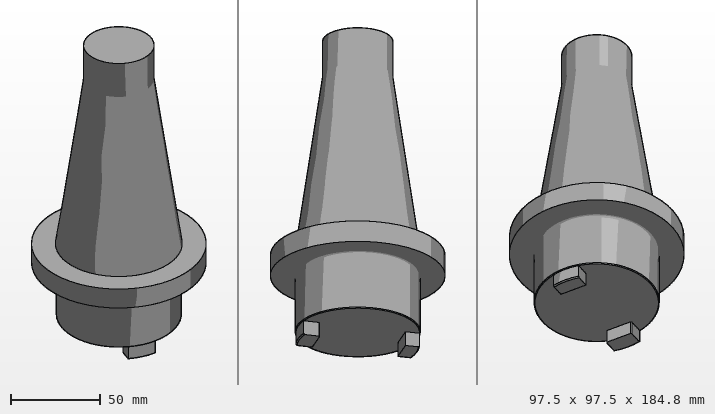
import cadquery as cq
import math

total_height = 184.8
flange_thickness = 12.4
spigot_length = 34.4
key_drop = 8.3
tip_length = 22.0

flange_diameter = 97.5
gauge_diameter = 69.85
tip_diameter = 39.4
spigot_diameter = 69.85

taper_rate = 7 / 24
gauge_height = 3.2

neck_fillet = 1.6
spigot_chamfer = 0.5
key_chamfer = 0.7

key_width = 16.2
key_outer_radius = 34.5
left_key_inner_distance = 24.1
right_key_inner_distance = 25.4
left_key_corner_chamfer = 0.6

flange_bottom = -flange_thickness
spigot_bottom = flange_bottom - spigot_length
key_bottom = spigot_bottom - key_drop
top = key_bottom + total_height
taper_top = top - tip_length
taper_base_diameter = gauge_diameter + gauge_height * taper_rate


def turned_body():
    """Tip, taper, flange and spigot as one revolved half profile."""
    spigot_radius = spigot_diameter / 2
    fillet_start = (spigot_radius, flange_bottom - neck_fillet)
    fillet_middle = (
        spigot_radius + neck_fillet * (1 - math.cos(math.pi / 4)),
        flange_bottom - neck_fillet * (1 - math.sin(math.pi / 4)),
    )
    fillet_end = (spigot_radius + neck_fillet, flange_bottom)
    profile = (
        cq.Workplane("XZ")
        .moveTo(0, spigot_bottom)
        .lineTo(spigot_radius - spigot_chamfer, spigot_bottom)
        .lineTo(spigot_radius, spigot_bottom + spigot_chamfer)
        .lineTo(*fillet_start)
        .threePointArc(fillet_middle, fillet_end)
        .lineTo(flange_diameter / 2, flange_bottom)
        .lineTo(flange_diameter / 2, 0)
        .lineTo(taper_base_diameter / 2, 0)
        .lineTo(tip_diameter / 2, taper_top)
        .lineTo(tip_diameter / 2, top)
        .lineTo(0, top)
        .close()
    )
    return profile.revolve(360, (0, 0), (0, 1))


def key_bar(direction, inner_distance):
    """Straight bar reaching from the inner key face out to the key radius along X."""
    length = key_outer_radius - inner_distance
    center = direction * (inner_distance + length / 2)
    return cq.Workplane("XY", origin=(center, 0, key_bottom)).rect(length, key_width).extrude(key_drop)


def driving_keys():
    """Two opposite keys with round, chamfered outer sides and flat inner sides."""
    disc = (
        cq.Workplane("XY", origin=(0, 0, key_bottom))
        .circle(key_outer_radius)
        .extrude(key_drop)
        .faces("<Z")
        .chamfer(key_chamfer)
    )
    left_key = key_bar(-1, left_key_inner_distance).edges("|Z and >X").chamfer(left_key_corner_chamfer)
    right_key = key_bar(1, right_key_inner_distance)
    return left_key.union(right_key).intersect(disc)


result = turned_body().union(driving_keys())